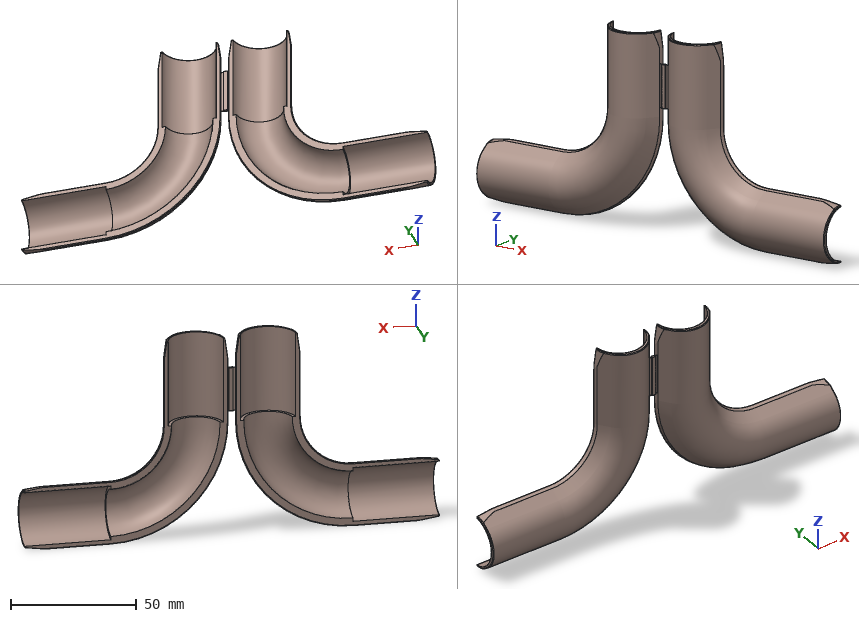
import cadquery as cq
import math

overall_width = 169.5
half_section_width = 13.2
elbow_gap = 3.0
axis_offset = half_section_width + elbow_gap / 2
overall_height = 83.2
bend_radius = 34.7
level_length = overall_width / 2 - axis_offset - bend_radius
upright_length = overall_height - half_section_width - bend_radius

outer_radius = 11.5
bore_axis_y = 1.4
socket_radius = 11.4
bend_bore_radius = 10.0
rim_depth = 2.0
rim_draft = 0.5
rim_chamfer = 0.3
flank_half_width = half_section_width - rim_draft

mouth_radius = 11.9
taper_length = 9.5
mouth_chamfer = 0.3

hinge_length = 18.1
hinge_top_setback = 13.2
web_thickness = 0.2
web_overlap = 0.7
bead_width = 1.7
bead_thickness = 1.2


def section():
    """Solid outer section: drafted rims, flat flanks tangent to the round belly."""
    rim_distance = math.hypot(flank_half_width, rim_depth)
    flank_angle = math.atan2(rim_depth, flank_half_width) + math.acos(outer_radius / rim_distance)
    tangent_x = outer_radius * math.cos(flank_angle)
    tangent_y = -outer_radius * math.sin(flank_angle)
    return (
        cq.Workplane("XY")
        .moveTo(rim_chamfer - half_section_width, 0)
        .lineTo(-half_section_width, -rim_chamfer)
        .lineTo(-flank_half_width, -rim_depth)
        .lineTo(-tangent_x, tangent_y)
        .threePointArc((0, -outer_radius), (tangent_x, tangent_y))
        .lineTo(flank_half_width, -rim_depth)
        .lineTo(half_section_width, -rim_chamfer)
        .lineTo(half_section_width - rim_chamfer, 0)
        .close()
    )


def bore(radius):
    return cq.Workplane("XY").center(0, bore_axis_y).circle(radius)


def straight_leg(straight_length):
    """Leg along +Z from the bend, with a tapered and chamfered mouth at its far end."""
    taper_start = straight_length - taper_length
    taper_cone = cq.Solid.makeCone(
        half_section_width, mouth_radius, taper_length, pnt=cq.Vector(0, 0, taper_start)
    )
    tapered_end = section().extrude(taper_length).translate((0, 0, taper_start)).intersect(taper_cone)
    body = section().extrude(taper_start).union(tapered_end)
    body = body.faces(">Z").edges("not(>Y)").chamfer(mouth_chamfer)
    return body.cut(bore(socket_radius).extrude(straight_length))


def bend():
    """Quarter turn from the vertical leg at the origin down to the horizontal leg."""
    pivot = (-bend_radius, 0, 0)
    pivot_end = (-bend_radius, 1, 0)
    outer = section().revolve(90, pivot, pivot_end)
    inner = bore(bend_bore_radius).revolve(90, pivot, pivot_end)
    return outer.cut(inner)


def elbow():
    upright = straight_leg(upright_length)
    level = straight_leg(level_length).rotate((0, 0, 0), (0, 1, 0), -90).translate((-bend_radius, 0, -bend_radius))
    return upright.union(bend()).union(level).translate((-axis_offset, 0, bend_radius))


def hinge():
    """Thin web with a thicker bead along its middle."""
    hinge_top = overall_height - half_section_width - hinge_top_setback
    center = (0, web_thickness / 2 - rim_depth, hinge_top - hinge_length / 2)
    web = cq.Workplane("XY").box(elbow_gap + 2 * web_overlap, web_thickness, hinge_length)
    bead = cq.Workplane("XY").box(bead_width, bead_thickness, hinge_length)
    return web.union(bead).translate(center)


left_elbow = elbow()
right_elbow = left_elbow.mirror("YZ")
result = left_elbow.union(hinge()).union(right_elbow)